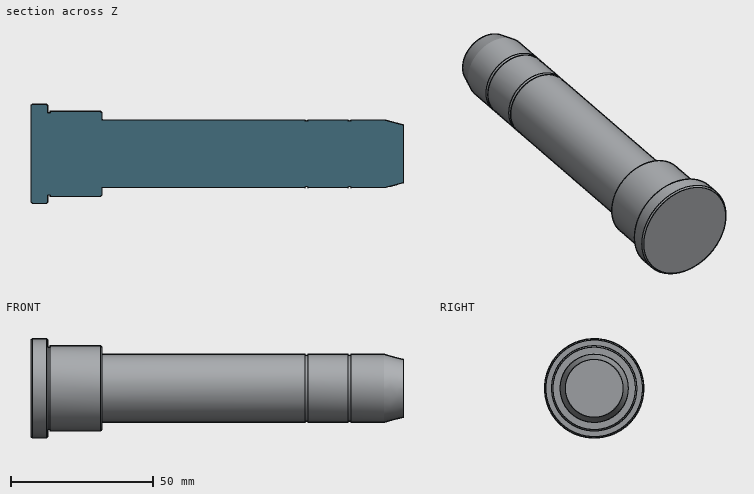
import cadquery as cq
import math

total_length = 131.0

head_diameter = 35.0
head_thickness = 6.0
head_chamfer = 0.5

neck_width = 0.8
neck_depth = 0.5

shoulder_diameter = 30.0
shoulder_end = 25.0
shoulder_chamfer = 0.5
root_fillet = 0.3

shaft_diameter = 24.0
groove_starts = (96.3, 111.4)
groove_width = 1.2
groove_depth = 0.4
groove_radius = ((groove_width / 2) ** 2 + groove_depth ** 2) / (2 * groove_depth)

nose_length = 6.8
nose_angle = 15.0
nose_drop = nose_length * math.tan(math.radians(nose_angle))
tip_diameter = shaft_diameter - 2 * nose_drop


def cylinder(start, length, diameter):
    """Solid cylinder along X."""
    return cq.Workplane("YZ", origin=(start, 0, 0)).circle(diameter / 2).extrude(length)


def round_groove(center, depth, radius, diameter):
    """Ring of round section to cut an arc-shaped groove into a cylinder of the given diameter."""
    ring_radius = diameter / 2 - depth + radius
    section = cq.Workplane("XY").center(center, ring_radius).circle(radius)
    return section.revolve(360, (0, -ring_radius, 0), (1, -ring_radius, 0))


head = cylinder(0, head_thickness, head_diameter).edges().chamfer(head_chamfer)

neck = cylinder(head_thickness, neck_width, shoulder_diameter - 2 * neck_depth)
shoulder_start = head_thickness + neck_width
shoulder = cylinder(shoulder_start, shoulder_end - shoulder_start, shoulder_diameter)
shoulder = shoulder.faces(">X").edges().chamfer(shoulder_chamfer)

nose_start = total_length - nose_length
shaft = cylinder(shoulder_end, nose_start - shoulder_end, shaft_diameter)
for groove_start in groove_starts:
    groove_center = groove_start + groove_width / 2
    shaft = shaft.cut(round_groove(groove_center, groove_depth, groove_radius, shaft_diameter))

nose = (
    cq.Workplane("YZ", origin=(nose_start, 0, 0))
    .circle(shaft_diameter / 2)
    .workplane(offset=nose_length)
    .circle(tip_diameter / 2)
    .loft(ruled=True)
)

pin = head.union(neck).union(shoulder).union(shaft).union(nose)

margin = root_fillet / 2
shoulder_face_edges = cq.selectors.BoxSelector(
    (shoulder_end - margin, -margin, -margin),
    (shoulder_end + margin, margin, margin),
)
shaft_root = cq.selectors.RadiusNthSelector(0)
result = pin.edges(shoulder_face_edges).edges(shaft_root).fillet(root_fillet)